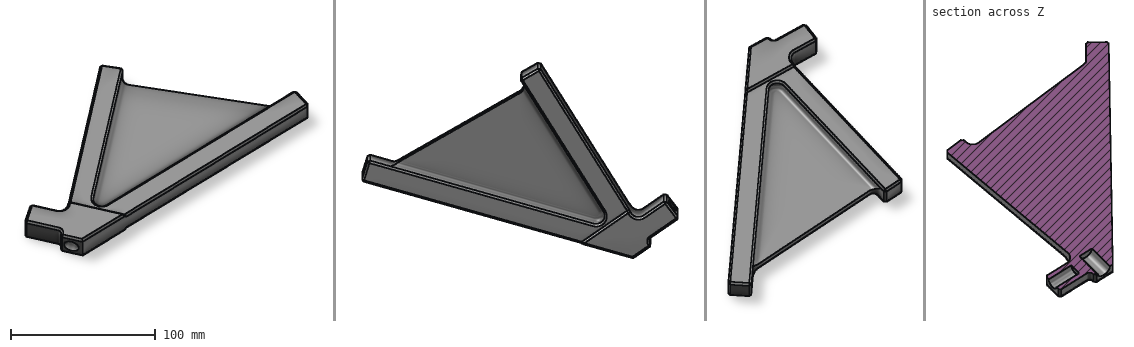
import cadquery as cq
import math

head_thickness = 19.0
arm_thickness = 16.0
web_thickness = 5.0

edge_chamfer = 1.49

tab_width = 16.0
tab_bottom = 5.0
tab_top = tab_bottom + tab_width
tab_middle = tab_bottom + tab_width / 2
foot_left = 27.0
foot_right = 43.0
tab_foot_fillet = 3.0
tab_arm_fillet = 6.0
step_start = 29.0
step_height = (head_thickness - arm_thickness) / 2

arm_width = 16.0
left_lean = math.radians(5.0)
diagonal_slope = math.radians(52.46)
diagonal_length = 195.72
left_arm_foot_x = 25.35
left_arm_length = 129.3
crotch_radius = 6.0

web_setback = 10.0
web_end_fillet = 6.0
web_root_fillet = 4.0

tab_hole_diameter = 8.5
tab_hole_depth = 20.0
foot_hole_diameter = 10.5
foot_hole_depth = 20.0
foot_hole_x = (foot_left + foot_right) / 2

tolerance = 0.01

left_along = cq.Vector(-math.sin(left_lean), math.cos(left_lean))
left_across = cq.Vector(math.cos(left_lean), math.sin(left_lean))
diagonal_along = cq.Vector(math.cos(diagonal_slope), math.sin(diagonal_slope))
diagonal_across = cq.Vector(-math.sin(diagonal_slope), math.cos(diagonal_slope))


def meeting_point(start_a, along_a, start_b, along_b):
    """Point where two lines in the XY plane cross."""
    gap = start_b - start_a
    distance = gap.cross(along_b).z / along_a.cross(along_b).z
    return start_a + along_a * distance


left_arm_root = cq.Vector(left_arm_foot_x, tab_top)
left_tip_outer = left_arm_root + left_along * left_arm_length
left_tip_inner = left_tip_outer + left_across * arm_width
foot_corner = cq.Vector(foot_right, 0)
diagonal_tip_outer = foot_corner + diagonal_along * diagonal_length
diagonal_tip_inner = diagonal_tip_outer + diagonal_across * arm_width
crotch = meeting_point(left_tip_inner, left_along, diagonal_tip_inner, diagonal_along)
web_left = left_tip_inner - left_along * web_setback
web_right = meeting_point(web_left, left_across, diagonal_tip_inner, diagonal_along)


def plate(points, thickness):
    """Flat plate of the given outline, centred on Z = 0."""
    outline = [(point.x, point.y) for point in points]
    return cq.Workplane("XY").polyline(outline).close().extrude(thickness / 2, both=True)


def upright_edges(body, points):
    """Upright edges of the body that stand on the given points of the XY plane."""
    found = []
    for edge in body.edges("|Z").vals():
        middle = edge.Center()
        if any(math.hypot(middle.x - point.x, middle.y - point.y) < tolerance for point in points):
            found.append(edge)
    return body.newObject(found)


def rim_edges(body):
    """Edges between the upright sides and the faces above and below them."""
    upright = {}
    edges = {}
    for face in body.faces().vals():
        is_upright = abs(face.normalAt().z) < tolerance
        for edge in face.Edges():
            edges[edge.hashCode()] = edge
            upright.setdefault(edge.hashCode(), []).append(is_upright)
    return [edges[code] for code, sides in upright.items() if any(sides) and not all(sides)]


def make_frame():
    """Head and arms with the step between them, and their outer edges chamfered."""
    tab_corners = [cq.Vector(0, tab_bottom), cq.Vector(0, tab_top)]
    tab_foot_corner = cq.Vector(foot_left, tab_bottom)
    foot_left_corner = cq.Vector(foot_left, 0)
    arm_tips = [left_tip_outer, left_tip_inner, diagonal_tip_inner, diagonal_tip_outer]
    outline = [
        foot_left_corner,
        foot_corner,
        diagonal_tip_outer,
        diagonal_tip_inner,
        crotch,
        left_tip_inner,
        left_tip_outer,
        left_arm_root,
        tab_corners[1],
        tab_corners[0],
        tab_foot_corner,
    ]
    body = plate(outline, head_thickness)
    body = upright_edges(body, [left_arm_root]).fillet(tab_arm_fillet)
    body = upright_edges(body, [tab_foot_corner]).fillet(tab_foot_fillet)
    body = upright_edges(body, [crotch]).fillet(crotch_radius)

    beyond_arms = 2 * diagonal_length
    step = [
        (step_start, head_thickness / 2),
        (step_start + step_height, arm_thickness / 2),
        (beyond_arms, arm_thickness / 2),
        (beyond_arms, head_thickness / 2),
    ]
    relief = cq.Workplane("YZ").polyline(step).close().extrude(beyond_arms, both=True)
    body = body.cut(relief).cut(relief.mirror("XY"))

    corners = upright_edges(body, tab_corners + [foot_left_corner] + arm_tips).vals()
    return body.newObject(rim_edges(body) + corners).chamfer(edge_chamfer)


def make_web():
    """Thin web whose open end flares into the arms and whose faces curve up into their walls."""
    root_depth = arm_width / 2
    blank_thickness = web_thickness + 2 * web_root_fillet
    flare_room = web_setback - edge_chamfer
    left_shoulder = web_left + left_along * flare_room
    right_shoulder = web_right + diagonal_along * flare_room
    left_inside = left_shoulder - left_across * root_depth
    right_inside = right_shoulder - diagonal_across * root_depth
    inner_crotch = meeting_point(left_inside, left_along, right_inside, diagonal_along)
    outline = [
        inner_crotch,
        right_inside,
        right_shoulder,
        web_right,
        web_left,
        left_shoulder,
        left_inside,
    ]
    web = plate(outline, blank_thickness)
    web = upright_edges(web, [web_left, web_right]).fillet(web_end_fillet)

    far_left = crotch + left_along * diagonal_length
    far_right = crotch + diagonal_along * diagonal_length
    hollow = plate([crotch, far_right, far_left], arm_thickness)
    hollow = upright_edges(hollow, [crotch]).fillet(crotch_radius)
    crotch_arc = hollow.faces("<Z").edges("%CIRCLE")
    hollow = crotch_arc.fillet(web_root_fillet)
    hollow = hollow.translate((0, 0, (arm_thickness + web_thickness) / 2))
    return web.cut(hollow).cut(hollow.mirror("XY"))


def blind_hole(plane, origin, diameter, depth):
    """Round bar that cuts a hole from a face of the head into the metal."""
    return cq.Workplane(plane, origin=origin).circle(diameter / 2).extrude(depth)


tab_hole = blind_hole("YZ", (0, tab_middle, 0), tab_hole_diameter, tab_hole_depth)
foot_hole = blind_hole("ZX", (foot_hole_x, 0, 0), foot_hole_diameter, foot_hole_depth)
result = make_frame().union(make_web()).cut(tab_hole).cut(foot_hole)